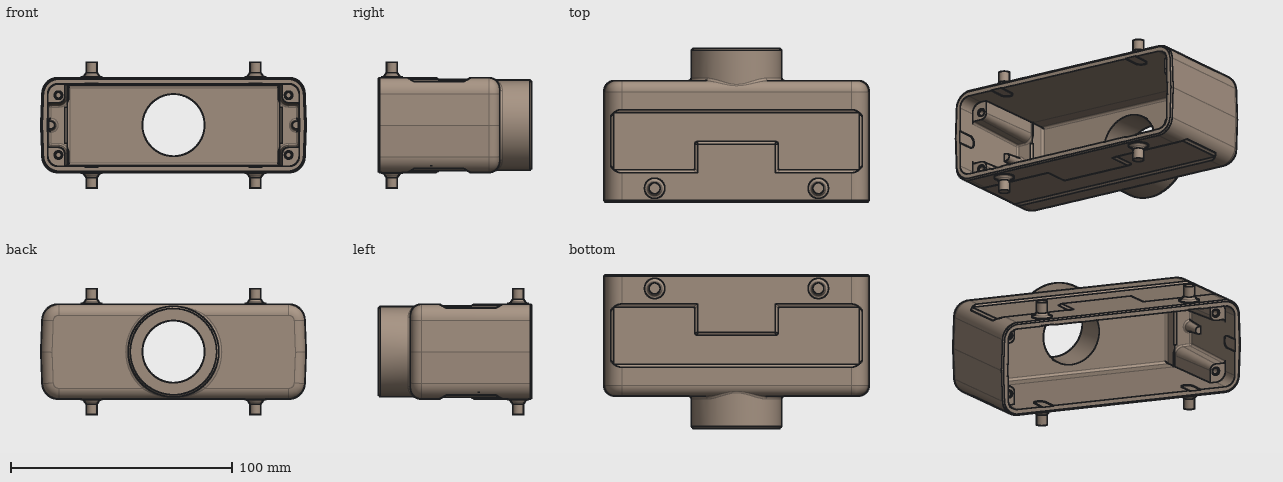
import cadquery as cq
import math

LENGTH = 120.0
HEIGHT = 43.0
DEPTH = 54.9
END_DRAFT = 2.2
CORNER_RADIUS = 7.5
BACK_EDGE_RADIUS = 5.0
RIM_CHAMFER = 0.7

SOCKET_DIAMETER = 41.0
SOCKET_END = 69.5
SOCKET_CHAMFER = 1.0
SOCKET_FOOT_RADIUS = 1.2
ENTRY_DIAMETER = 28.0

WALL = 2.8
CAVITY_CORNER_RADIUS = 4.8
CAVITY_DRAFT = 0.8
BACK_WALL = 3.0
FLOOR_RADIUS = 1.1
SHELF_Y = 44.0
SHELF_RADIUS = 0.8
SHELF_BEVEL = 1.0

POST_FRONT = 9.5
POST_INNER_X = 49.2
POST_INNER_Z = 10.1
POST_RADIUS = 2.7
POST_ROOT_RADIUS = 1.0
POST_DRAFT = 1.9
SCREW_X = 52.0
SCREW_Z = 13.5
SCREW_DIAMETER = 2.7
SCREW_MOUTH_DIAMETER = 3.7
SCREW_DEPTH = 15.0

RIB_FRONT = 34.0
RIB_TIP_X = 53.7
RIB_RADIUS = 1.7
RIB_DRAFT = 4.0

PIN_X = 37.0
PIN_Y = 6.2
PIN_DIAMETER = 5.0
PIN_SPAN = 57.0
PIN_FOOT_RADIUS = 4.6
PIN_FOOT_HEIGHT = 0.3
PIN_CONE_RADIUS = 3.2
PIN_CONE_BOTTOM = 1.2
PIN_CONE_TOP = 2.2
PIN_ROOT = 1.0

GROOVE_WIDTH = 5.6
GROOVE_END = 10.8
GROOVE_DEPTH = 0.25

PANEL_DEPTH = 0.85
PANEL_SLOPE = 1.4
PANEL_HALF_LENGTH = 56.8
PANEL_BACK = 41.8
PANEL_FRONT = 13.2
PANEL_END_DROP = 1.1
NOTCH_HALF_WIDTH = 17.5
NOTCH_BACK = 26.0
NOTCH_RADIUS = 1.2

HALF_LENGTH = LENGTH / 2
HALF_HEIGHT = HEIGHT / 2
FLOOR_Y = DEPTH - BACK_WALL
INNER_LENGTH = LENGTH - 2 * WALL - 0.6
INNER_HEIGHT = HEIGHT - 2 * WALL
POST_FOOT_GROWTH = (SHELF_Y - POST_FRONT) * math.tan(math.radians(POST_DRAFT))
FLOOR_HALF = POST_INNER_X - POST_FOOT_GROWTH
SIDES = (1, -1)


def facing_back(y):
    """Workplane at the given Y, local x = -X, local y = Z, normal +Y."""
    return cq.Workplane("XZ", origin=(0, y, 0)).transformed(rotate=(0, 180, 0))


def make_shell():
    end_inset = HALF_HEIGHT * math.tan(math.radians(END_DRAFT))
    corner_x = HALF_LENGTH - end_inset
    outline = [
        (HALF_LENGTH, 0),
        (corner_x, HALF_HEIGHT),
        (-corner_x, HALF_HEIGHT),
        (-HALF_LENGTH, 0),
        (-corner_x, -HALF_HEIGHT),
        (corner_x, -HALF_HEIGHT),
    ]
    body = facing_back(0).polyline(outline).close().extrude(DEPTH)
    body = body.edges("|Y").edges(">Z or <Z").fillet(CORNER_RADIUS)
    body = body.faces(">Y").edges().fillet(BACK_EDGE_RADIUS)
    return body.faces("<Y").edges().chamfer(RIM_CHAMFER)


def add_socket(body):
    start = DEPTH - BACK_EDGE_RADIUS
    socket = facing_back(start).circle(SOCKET_DIAMETER / 2).extrude(SOCKET_END - start)
    body = body.union(socket)
    foot_box = cq.selectors.BoxSelector(
        (-SOCKET_DIAMETER, start, -SOCKET_DIAMETER / 2 - 0.1),
        (SOCKET_DIAMETER, DEPTH + 0.1, SOCKET_DIAMETER / 2 + 0.1),
        boundingbox=True,
    )
    foot = body.edges(foot_box)
    body = foot.fillet(SOCKET_FOOT_RADIUS)
    return body.faces(">Y").edges().chamfer(SOCKET_CHAMFER)


def make_post(side_x, side_z):
    length = HALF_LENGTH + POST_RADIUS - POST_INNER_X
    height = HALF_HEIGHT + POST_RADIUS - POST_INNER_Z
    return (
        facing_back(POST_FRONT)
        .center(-side_x * (POST_INNER_X + length / 2), side_z * (POST_INNER_Z + height / 2))
        .sketch()
        .rect(length, height)
        .vertices()
        .fillet(POST_RADIUS)
        .finalize()
        .extrude(DEPTH - POST_FRONT, taper=-POST_DRAFT)
    )


def make_rib(side):
    tip_center = RIB_TIP_X + RIB_RADIUS
    return (
        facing_back(RIB_FRONT)
        .center(-side * (tip_center + HALF_LENGTH) / 2, 0)
        .slot2D(HALF_LENGTH - tip_center + 2 * RIB_RADIUS, 2 * RIB_RADIUS)
        .extrude(DEPTH - RIB_FRONT, taper=-RIB_DRAFT)
    )


def make_cavity():
    shelf_cavity = (
        facing_back(0)
        .sketch()
        .rect(INNER_LENGTH, INNER_HEIGHT)
        .vertices()
        .fillet(CAVITY_CORNER_RADIUS)
        .finalize()
        .extrude(SHELF_Y, taper=CAVITY_DRAFT)
    )
    for side_x in SIDES:
        shelf_cavity = shelf_cavity.cut(make_rib(side_x))
        for side_z in SIDES:
            shelf_cavity = shelf_cavity.cut(make_post(side_x, side_z))
    end_wall_x = INNER_LENGTH / 2
    for side_x in SIDES:
        near_x, far_x = sorted((side_x * (end_wall_x - POST_RADIUS), side_x * HALF_LENGTH))
        root = cq.selectors.BoxSelector(
            (near_x, POST_FRONT + 1, -POST_INNER_Z - 1),
            (far_x, RIB_FRONT - 1, POST_INNER_Z + 1),
        )
        shelf_cavity = shelf_cavity.edges(root).fillet(POST_ROOT_RADIUS)
    bay = cq.selectors.BoxSelector(
        (FLOOR_HALF + SHELF_BEVEL, SHELF_Y - 1, -SCREW_Z),
        (HALF_LENGTH, SHELF_Y + 1, SCREW_Z),
    )
    opposite_bay = cq.selectors.BoxSelector(
        (-HALF_LENGTH, SHELF_Y - 1, -SCREW_Z),
        (-FLOOR_HALF - SHELF_BEVEL, SHELF_Y + 1, SCREW_Z),
    )
    end_wall = shelf_cavity.faces(">Y")
    shelf_cavity = end_wall.edges(bay + opposite_bay).fillet(SHELF_RADIUS)
    middle_height = INNER_HEIGHT - 2 * SHELF_Y * math.tan(math.radians(CAVITY_DRAFT))
    middle = (
        facing_back(SHELF_Y)
        .rect(2 * FLOOR_HALF, middle_height)
        .extrude(FLOOR_Y - SHELF_Y)
        .faces(">Y")
        .edges()
        .fillet(FLOOR_RADIUS)
    )
    bevel_height = 2 * (POST_INNER_Z - POST_FOOT_GROWTH - SHELF_RADIUS)
    bevel_outline = [
        (-FLOOR_HALF - SHELF_BEVEL, SHELF_Y),
        (FLOOR_HALF + SHELF_BEVEL, SHELF_Y),
        (FLOOR_HALF, SHELF_Y + SHELF_BEVEL),
        (-FLOOR_HALF, SHELF_Y + SHELF_BEVEL),
    ]
    bevel = cq.Workplane("XY").polyline(bevel_outline).close().extrude(bevel_height / 2, both=True)
    return shelf_cavity.union(middle).union(bevel)


def make_screw_holes():
    mouth_depth = (SCREW_MOUTH_DIAMETER - SCREW_DIAMETER) / 2
    profile = [
        (0, 0),
        (SCREW_MOUTH_DIAMETER / 2, 0),
        (SCREW_DIAMETER / 2, mouth_depth),
        (SCREW_DIAMETER / 2, SCREW_DEPTH),
        (0, SCREW_DEPTH),
    ]
    hole = cq.Workplane("XY").polyline(profile).close().revolve(360, (0, 0, 0), (0, 1, 0))
    holes = cq.Workplane("XY")
    for side_x in SIDES:
        for side_z in SIDES:
            holes = holes.add(hole.translate((side_x * SCREW_X, POST_FRONT, side_z * SCREW_Z)))
    return holes.combine()


def make_pin():
    """Upper pin at X = 0, with a cone and a concave flare at its foot."""
    radius = PIN_DIAMETER / 2
    flare_width = PIN_FOOT_RADIUS - PIN_CONE_RADIUS
    flare_height = PIN_CONE_BOTTOM - PIN_FOOT_HEIGHT
    flare_bend = 1 - math.sqrt(0.5)
    flare_x = PIN_CONE_RADIUS + flare_width * flare_bend
    flare_z = PIN_FOOT_HEIGHT + flare_height * flare_bend
    return (
        cq.Workplane("XZ")
        .moveTo(0, HALF_HEIGHT - PIN_ROOT)
        .lineTo(PIN_FOOT_RADIUS, HALF_HEIGHT - PIN_ROOT)
        .lineTo(PIN_FOOT_RADIUS, HALF_HEIGHT + PIN_FOOT_HEIGHT)
        .threePointArc(
            (flare_x, HALF_HEIGHT + flare_z),
            (PIN_CONE_RADIUS, HALF_HEIGHT + PIN_CONE_BOTTOM),
        )
        .lineTo(radius, HALF_HEIGHT + PIN_CONE_TOP)
        .lineTo(radius, PIN_SPAN / 2)
        .lineTo(0, PIN_SPAN / 2)
        .close()
        .revolve(360, (0, 0, 0), (0, 1, 0))
        .translate((0, PIN_Y, 0))
    )


def make_groove(reach):
    """Round-ended groove tool along Y, reaching from the middle plane up to Z = reach."""
    straight = GROOVE_END - GROOVE_WIDTH / 2
    bar = cq.Workplane("XY").rect(GROOVE_WIDTH, 2 * straight).extrude(reach)
    end = cq.Workplane("XY").center(0, straight).circle(GROOVE_WIDTH / 2).extrude(reach)
    return bar.union(end)


def make_panel():
    """Tool that recesses the upper label panel."""
    floor_z = HALF_HEIGHT - PANEL_DEPTH
    floor_half = PANEL_HALF_LENGTH - PANEL_SLOPE
    section = [
        (-floor_half, floor_z),
        (floor_half, floor_z),
        (PANEL_HALF_LENGTH, floor_z - PANEL_END_DROP),
        (PANEL_HALF_LENGTH, HALF_HEIGHT),
        (-PANEL_HALF_LENGTH, HALF_HEIGHT),
        (-PANEL_HALF_LENGTH, floor_z - PANEL_END_DROP),
    ]
    slab = cq.Workplane("XZ").polyline(section).close().extrude(-DEPTH)
    outer_half = PANEL_HALF_LENGTH + 3 * PANEL_SLOPE
    outline = [
        (-outer_half, PANEL_FRONT),
        (-NOTCH_HALF_WIDTH, PANEL_FRONT),
        (-NOTCH_HALF_WIDTH, NOTCH_BACK),
        (NOTCH_HALF_WIDTH, NOTCH_BACK),
        (NOTCH_HALF_WIDTH, PANEL_FRONT),
        (outer_half, PANEL_FRONT),
        (outer_half, PANEL_BACK),
        (-outer_half, PANEL_BACK),
    ]
    slope_angle = math.degrees(math.atan(PANEL_SLOPE / PANEL_DEPTH))
    prism = (
        cq.Workplane("XY", origin=(0, 0, HALF_HEIGHT))
        .polyline(outline)
        .close()
        .extrude(-PANEL_DEPTH - PANEL_END_DROP, taper=slope_angle)
    )
    notch_edges = cq.selectors.BoxSelector(
        (-NOTCH_HALF_WIDTH - 2 * PANEL_SLOPE, PANEL_FRONT - PANEL_SLOPE, 0),
        (NOTCH_HALF_WIDTH + 2 * PANEL_SLOPE, NOTCH_BACK + 2 * PANEL_SLOPE, HALF_HEIGHT - 0.01),
    )
    slanted = prism.edges("not #Z").edges("not |X").edges("not |Y").edges(notch_edges)
    prism = slanted.fillet(NOTCH_RADIUS)
    return slab.intersect(prism)


result = add_socket(make_shell())
result = result.cut(make_cavity()).cut(make_screw_holes())
result = result.cut(facing_back(SHELF_Y).circle(ENTRY_DIAMETER / 2).extrude(SOCKET_END - SHELF_Y))

panel = make_panel()
result = result.cut(panel).cut(panel.mirror("XY"))

pin = make_pin()
pin_groove = make_groove(INNER_HEIGHT / 2 + GROOVE_DEPTH)
for side in SIDES:
    for feature_side in SIDES:
        turn = 0 if feature_side > 0 else 180
        offset = (side * PIN_X, 0, 0)
        result = result.cut(pin_groove.rotate((0, 0, 0), (0, 1, 0), turn).translate(offset))
        result = result.union(pin.rotate((0, 0, 0), (0, 1, 0), turn).translate(offset))

end_groove = make_groove(INNER_LENGTH / 2 + GROOVE_DEPTH)
for turn in (90, 270):
    result = result.cut(end_groove.rotate((0, 0, 0), (0, 1, 0), turn))